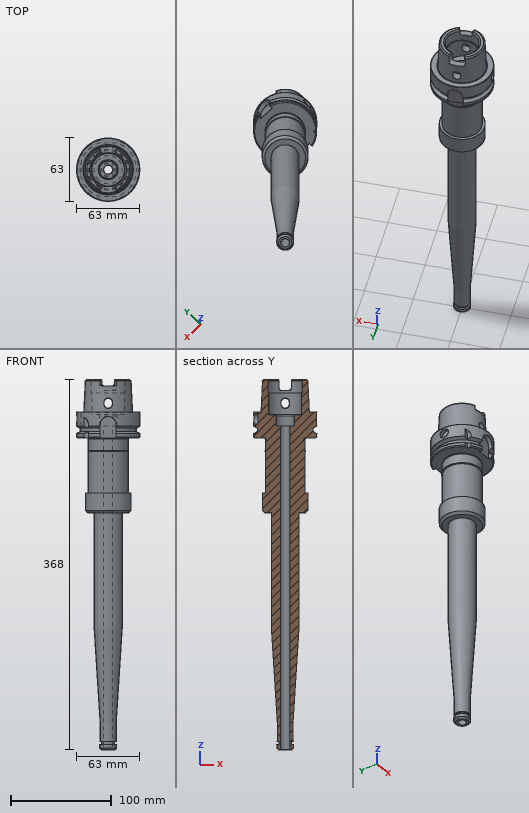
import cadquery as cq

overall_length = 368.0

shank_length = 32.0
shank_top_radius = 23.0
shank_base_radius = 24.3
shank_chamfer_width = 1.5
shank_chamfer_height = 1.5

flange_diameter = 63.0
flange_radius = flange_diameter / 2
flange_height = 26.0
flange_top_chamfer = 0.5
flange_bottom_chamfer = 1.0
groove_radius = 28.0
groove_center_depth = 18.0
groove_floor_width = 3.3
groove_mouth_width = 7.5
face_relief_radius = 25.0
face_relief_depth = 0.7

neck_diameter = 40.0
neck_radius = neck_diameter / 2
neck_relief_radius = 19.0
neck_relief_height = 1.0
neck_groove_cut = 0.3
neck_groove_depth = 38.3
neck_groove_width = 1.0
nut_radius = 23.0
nut_top_depth = 80.5
nut_height = 20.0
nut_chamfer = 2.5
arbor_radius = 14.0
cone_top_depth = 215.3
tip_radius = 8.0
tip_top_depth = 308.5
collar_chamfer = 2.0
tip_groove_diameter = 13.0
tip_groove_radius = tip_groove_diameter / 2
tip_groove_width = 3.0
collar_height = 5.0
collar_radius = 8.5

mouth_radius = 18.5
mouth_chamfer = 1.5
upper_bore_length = 13.5
lower_bore_radius = 16.2
bore_depth = 35.0
socket_radius = 10.0
socket_chamfer = 1.0
socket_depth = 11.0
through_hole_radius = 4.5

notch_inner_width = 11.8
notch_outer_width = 19.0
notch_inner_distance = 15.5
notch_corner_radius = 2.2
front_notch_depth = 6.3
rear_notch_depth = 10.5

coolant_slot_width = 8.0
coolant_slot_length = 10.0
coolant_slot_height = 8.5
pocket_hole_diameter = 10.0
pocket_hole_radius = pocket_hole_diameter / 2
pocket_hole_depth = 4.5
pocket_hole_height = -7.0

keyway_width = 16.0
keyway_floor = 26.5
keyway_top = -4.8
corner_notch_floor = 20.2
corner_notch_center = 27.5

bottom = shank_length - overall_length


def revolve_profile(points):
    """Revolve (radius, height) points about the Z axis."""
    return cq.Workplane("XZ").polyline(points).close().revolve(360, (0, 0, 0), (0, 1, 0))


def make_body():
    groove_mouth_top = -groove_center_depth + groove_mouth_width / 2
    groove_mouth_bottom = -groove_center_depth - groove_mouth_width / 2
    groove_floor_top = -groove_center_depth + groove_floor_width / 2
    groove_floor_bottom = -groove_center_depth - groove_floor_width / 2
    nut_bottom = -nut_top_depth - nut_height
    collar_top = bottom + collar_height
    relief_bottom = -flange_height - neck_relief_height
    neck_groove_radius = neck_radius - neck_groove_cut
    neck_groove_bottom = -neck_groove_depth - neck_groove_width
    return revolve_profile([
        (0, shank_length),
        (shank_top_radius - shank_chamfer_width, shank_length),
        (shank_top_radius, shank_length - shank_chamfer_height),
        (shank_base_radius, -face_relief_depth),
        (face_relief_radius, -face_relief_depth),
        (face_relief_radius, 0),
        (flange_radius - flange_top_chamfer, 0),
        (flange_radius, -flange_top_chamfer),
        (flange_radius, groove_mouth_top),
        (groove_radius, groove_floor_top),
        (groove_radius, groove_floor_bottom),
        (flange_radius, groove_mouth_bottom),
        (flange_radius, -flange_height + flange_bottom_chamfer),
        (flange_radius - flange_bottom_chamfer, -flange_height),
        (neck_relief_radius, -flange_height),
        (neck_relief_radius, relief_bottom),
        (neck_radius, relief_bottom),
        (neck_radius, -neck_groove_depth),
        (neck_groove_radius, -neck_groove_depth),
        (neck_groove_radius, neck_groove_bottom),
        (neck_radius, neck_groove_bottom),
        (neck_radius, -nut_top_depth),
        (nut_radius, -nut_top_depth),
        (nut_radius, nut_bottom + nut_chamfer),
        (nut_radius - nut_chamfer, nut_bottom),
        (arbor_radius, nut_bottom),
        (arbor_radius, -cone_top_depth),
        (tip_radius, -tip_top_depth),
        (tip_radius, collar_top + tip_groove_width),
        (tip_groove_radius, collar_top + tip_groove_width),
        (tip_groove_radius, collar_top),
        (collar_radius, collar_top),
        (collar_radius, bottom + collar_chamfer),
        (collar_radius - collar_chamfer, bottom),
        (0, bottom),
    ])


def make_bore():
    upper_bore_radius = mouth_radius - mouth_chamfer
    bore_step = shank_length - upper_bore_length
    bore_floor = shank_length - bore_depth
    socket_floor = bore_floor - socket_depth
    return revolve_profile([
        (0, shank_length),
        (mouth_radius, shank_length),
        (upper_bore_radius, shank_length - mouth_chamfer),
        (upper_bore_radius, bore_step),
        (lower_bore_radius, bore_step),
        (lower_bore_radius, bore_floor),
        (socket_radius, bore_floor),
        (socket_radius - socket_chamfer, bore_floor - socket_chamfer),
        (socket_radius - socket_chamfer, socket_floor),
        (through_hole_radius, socket_floor),
        (through_hole_radius, bottom),
        (0, bottom),
    ])


def make_drive_notch(depth):
    """Notch through the shank wall on the -Y side, flaring outward, with rounded floor corners."""
    return (
        cq.Workplane("XY", origin=(0, 0, shank_length - depth))
        .polyline([
            (-notch_inner_width / 2, -notch_inner_distance),
            (notch_inner_width / 2, -notch_inner_distance),
            (notch_outer_width / 2, -shank_base_radius),
            (-notch_outer_width / 2, -shank_base_radius),
        ])
        .close()
        .extrude(depth)
        .faces("<Z")
        .edges("not |X")
        .fillet(notch_corner_radius)
    )


def make_coolant_slots():
    return (
        cq.Workplane("XZ", origin=(0, 0, coolant_slot_height))
        .slot2D(coolant_slot_length, coolant_slot_width, 90)
        .extrude(flange_radius, both=True)
    )


def make_pocket_hole():
    return (
        cq.Workplane("YZ", origin=(-flange_radius, 0, pocket_hole_height))
        .circle(pocket_hole_radius)
        .extrude(pocket_hole_depth)
    )


def make_keyway(center_x, floor):
    """Cutter from Y = -floor outward to -Y, round at the top and open at the flange bottom."""
    radius = keyway_width / 2
    arc_center = keyway_top - radius
    return (
        cq.Workplane("XZ", origin=(0, -floor, 0))
        .moveTo(center_x - radius, -flange_height)
        .lineTo(center_x - radius, arc_center)
        .threePointArc((center_x, keyway_top), (center_x + radius, arc_center))
        .lineTo(center_x + radius, -flange_height)
        .close()
        .extrude(flange_radius)
    )


keyway = make_keyway(0, keyway_floor)
corner_notch = make_keyway(-corner_notch_center, corner_notch_floor)

result = (
    make_body()
    .cut(make_bore())
    .cut(make_drive_notch(front_notch_depth))
    .cut(make_drive_notch(rear_notch_depth).mirror("XZ"))
    .cut(make_coolant_slots())
    .cut(make_pocket_hole())
    .cut(keyway)
    .cut(keyway.mirror("XZ"))
    .cut(corner_notch)
)